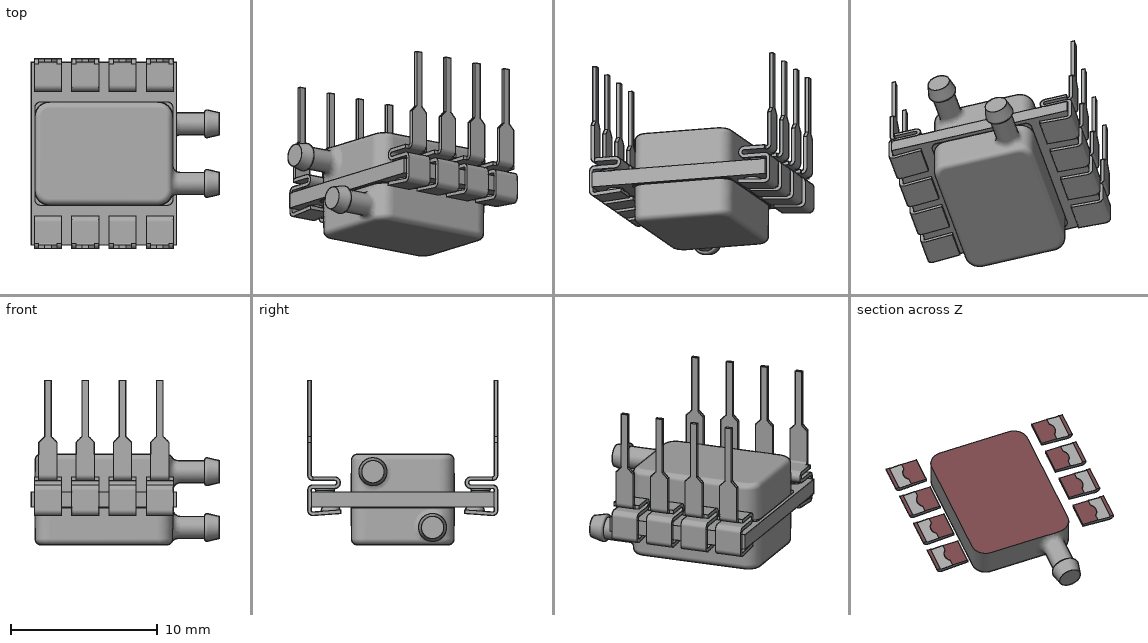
import cadquery as cq
import math


lead_span = 12.95
lead_thickness = 0.25
board_length = 9.92
board_width = lead_span - 2 * lead_thickness
board_thickness = 1.04
board_top = board_thickness / 2

housing_length = 9.42
housing_width = 7.05
housing_draft = 0.6
housing_height = 6.18
housing_corner_radius = 1.02
housing_rim_radius = 0.4

collar_length = 9.41
collar_width = 7.04
collar_corner_radius = 0.4
collar_rise = 0.01
collar_drop = 0.04

port_offset_y = 2.03
port_offset_z = 1.90
port_radius = 1.52 / 2
port_base_radius = 0.5
barb_radius = 1.0
barb_length = 1.02
barb_back_radius = 0.175
overall_length = 12.83
port_tip_x = overall_length - board_length / 2

lead_count = 4
lead_pitch = 2.54
lead_width = 1.85
shank_width = 1.25
pin_width = 0.46
shank_shoulder_z = 3.90
lead_tip_z = 8.12
bend_inner_radius = 0.23 / 2
bend_outer_radius = bend_inner_radius + lead_thickness
lead_outer_y = lead_span / 2
lower_shelf_top_z = 1.0
lower_shelf_bottom_z = lower_shelf_top_z - lead_thickness
fold_gap = 0.30
upper_shelf_bottom_z = lower_shelf_top_z + fold_gap
upper_shelf_top_z = upper_shelf_bottom_z + lead_thickness
fold_end_y = 4.24
spring_corner_z = -1.12
spring_end_y = 4.21
spring_angle = 4.2

bump_radius = 0.64
upper_bump_y = 5.30
lower_bump_y = 4.91
pad_thickness = 0.10
upper_bump_top_radius = 0.69
lower_bump_neck_radius = 0.55
lower_bump_dome_height = 0.22
lower_bump_dome_bulge = 0.03
lower_bump_root_depth = 0.12


def rounded_block(length, width, height, corner_radius):
    block = cq.Workplane("XY").box(length, width, height)
    return block.edges("|Z").fillet(corner_radius)


def make_housing():
    """Two equal halves, each drafted away from the mid-plane."""
    outline = cq.Sketch().rect(housing_length, housing_width).vertices().fillet(housing_corner_radius)
    half = cq.Workplane("XY").placeSketch(outline).extrude(housing_height / 2, taper=housing_draft)
    housing = half.union(half.mirror("XY"))
    return housing.faces("<Z or >Z").edges().fillet(housing_rim_radius)


def make_board():
    board = cq.Workplane("XY").box(board_length, board_width, board_thickness)
    collar_height = board_thickness + collar_rise + collar_drop
    collar = rounded_block(collar_length, collar_width, collar_height, collar_corner_radius)
    return board.union(collar.translate((0, 0, (collar_rise - collar_drop) / 2)))


def add_port(body, y, z):
    """Add a solid barbed port along +X, blended into the housing wall."""
    wall_x = housing_length / 2
    stem_start_x = wall_x - housing_corner_radius
    stem = (
        cq.Workplane("YZ", origin=(stem_start_x, y, z))
        .circle(port_radius)
        .extrude(port_tip_x - stem_start_x)
    )
    body = body.union(stem)
    wall_edges = cq.selectors.BoxSelector(
        (wall_x - housing_rim_radius, y - barb_radius, z - barb_radius),
        (wall_x + housing_rim_radius, y + barb_radius, z + barb_radius),
    )
    body = body.edges(wall_edges).fillet(port_base_radius)

    barb_start_x = port_tip_x - barb_length
    barb = (
        cq.Workplane("XY")
        .moveTo(barb_start_x, 0)
        .lineTo(barb_start_x, barb_radius)
        .lineTo(port_tip_x, port_radius)
        .lineTo(port_tip_x, 0)
        .close()
        .revolve(360, (0, 0, 0), (1, 0, 0))
        .faces("<X")
        .edges()
        .fillet(barb_back_radius)
    )
    return body.union(barb.translate((0, y, z)))


def make_folded_strip():
    """Bent sheet strip of constant width: spring leaf, board edge, folded shelf and upright."""
    inner_y = lead_outer_y - lead_thickness
    slope = math.tan(math.radians(spring_angle))
    leaf_depth = lead_thickness / math.cos(math.radians(spring_angle))
    leaf_end_z = spring_corner_z + slope * (lead_outer_y - spring_end_y)
    leaf_corner_z = spring_corner_z + slope * lead_thickness + leaf_depth

    fold_height = upper_shelf_top_z - lower_shelf_bottom_z
    fold_middle_z = (upper_shelf_top_z + lower_shelf_bottom_z) / 2
    fold_center_y = fold_end_y + fold_height / 2
    fold_inner_y = fold_end_y + lead_thickness

    strip = (
        cq.Workplane("YZ")
        .moveTo(lead_outer_y, lead_tip_z)
        .lineTo(lead_outer_y, upper_shelf_bottom_z)
        .lineTo(fold_center_y, upper_shelf_bottom_z)
        .threePointArc((fold_inner_y, fold_middle_z), (fold_center_y, lower_shelf_top_z))
        .lineTo(lead_outer_y, lower_shelf_top_z)
        .lineTo(lead_outer_y, spring_corner_z)
        .lineTo(spring_end_y, leaf_end_z)
        .lineTo(spring_end_y, leaf_end_z + leaf_depth)
        .lineTo(inner_y, leaf_corner_z)
        .lineTo(inner_y, lower_shelf_bottom_z)
        .lineTo(fold_center_y, lower_shelf_bottom_z)
        .threePointArc((fold_end_y, fold_middle_z), (fold_center_y, upper_shelf_top_z))
        .lineTo(inner_y, upper_shelf_top_z)
        .lineTo(inner_y, lead_tip_z)
        .close()
        .extrude(lead_width / 2, both=True)
    )
    bends = [
        (lead_outer_y, upper_shelf_bottom_z, bend_outer_radius),
        (lead_outer_y, lower_shelf_top_z, bend_outer_radius),
        (lead_outer_y, spring_corner_z, bend_outer_radius),
        (inner_y, leaf_corner_z, bend_inner_radius),
        (inner_y, lower_shelf_bottom_z, bend_inner_radius),
        (inner_y, upper_shelf_top_z, bend_inner_radius),
    ]
    for y, z, radius in bends:
        bend_edge = cq.selectors.NearestToPointSelector((0, y, z))
        strip = strip.edges("|X").edges(bend_edge).fillet(radius)
    return strip


def make_lead():
    """One lead of the +Y row, centred on X = 0, with the upright trimmed to its narrow shank."""
    shank_start_y = lead_outer_y - bend_outer_radius
    shank_start_z = lower_shelf_top_z + fold_gap / 2
    shoulder_top_z = shank_shoulder_z + (shank_width - pin_width) / 2
    upright_zone = cq.Workplane("XY").box(
        lead_width,
        bend_outer_radius,
        lead_tip_z - shank_start_z,
        centered=(True, False, False),
    ).translate((0, shank_start_y, shank_start_z))
    shank = (
        cq.Workplane("XZ", origin=(0, lead_outer_y, 0))
        .moveTo(-shank_width / 2, shank_start_z)
        .lineTo(shank_width / 2, shank_start_z)
        .lineTo(shank_width / 2, shank_shoulder_z)
        .lineTo(pin_width / 2, shoulder_top_z)
        .lineTo(pin_width / 2, lead_tip_z)
        .lineTo(-pin_width / 2, lead_tip_z)
        .lineTo(-pin_width / 2, shoulder_top_z)
        .lineTo(-shank_width / 2, shank_shoulder_z)
        .close()
        .extrude(bend_outer_radius)
    )
    return make_folded_strip().cut(upright_zone.cut(shank))


def make_upper_bump():
    """Round pad on the board, flaring slightly up to the lead shelf."""
    pad_top_z = board_top + pad_thickness
    bump = (
        cq.Workplane("XZ")
        .moveTo(0, board_top)
        .lineTo(bump_radius, board_top)
        .lineTo(bump_radius, pad_top_z)
        .lineTo(upper_bump_top_radius, lower_shelf_bottom_z)
        .lineTo(0, lower_shelf_bottom_z)
        .close()
        .revolve(360, (0, 0, 0), (0, 1, 0))
    )
    return bump.translate((0, upper_bump_y, 0))


def make_lower_bump():
    """Domed bump under the board, rooted in the spring leaf."""
    shoulder_z = -board_top - lower_bump_dome_height
    dome_mid_radius = (lower_bump_neck_radius + bump_radius) / 2 + lower_bump_dome_bulge
    dome_mid_z = (shoulder_z - board_top) / 2
    root_z = shoulder_z - lower_bump_root_depth
    bump = (
        cq.Workplane("XZ")
        .moveTo(0, -board_top)
        .lineTo(lower_bump_neck_radius, -board_top)
        .threePointArc((dome_mid_radius, dome_mid_z), (bump_radius, shoulder_z))
        .lineTo(bump_radius, root_z)
        .lineTo(0, root_z)
        .close()
        .revolve(360, (0, 0, 0), (0, 1, 0))
    )
    return bump.translate((0, lower_bump_y, 0))


def add_leads(body):
    contact = make_lead().union(make_upper_bump()).union(make_lower_bump())
    opposite_contact = contact.mirror("XZ")
    for index in range(lead_count):
        x = (index - (lead_count - 1) / 2) * lead_pitch
        body = body.union(contact.translate((x, 0, 0)))
        body = body.union(opposite_contact.translate((x, 0, 0)))
    return body


body = make_housing()
body = add_port(body, -port_offset_y, port_offset_z)
body = add_port(body, port_offset_y, -port_offset_z)
body = body.union(make_board())
result = add_leads(body)